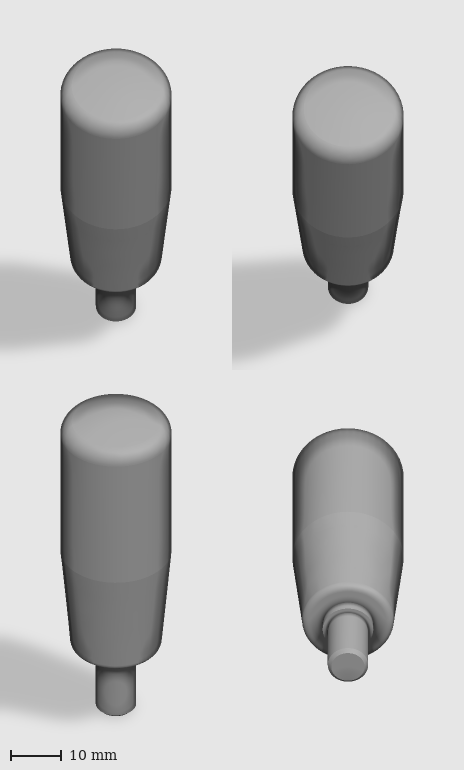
import cadquery as cq
import math

total_height = 71.5
grip_radius = 11.0

stud_radius = 4.0
stud_chamfer = 0.7

collar_radius = 5.0
collar_bottom = 13.2

grip_bottom = 15.4
grip_bottom_radius = 9.1
bottom_round = 1.4
taper_top = 38.6
straight_top = 67.2
shoulder_radius = 3.15

shoulder_center_radius = grip_radius - shoulder_radius
top_rise = total_height - straight_top
dome_radius = (shoulder_center_radius**2 + top_rise**2 - shoulder_radius**2) / (
    2 * (top_rise - shoulder_radius)
)
dome_center_height = total_height - dome_radius
dome_half_angle = math.asin(shoulder_center_radius / (dome_radius - shoulder_radius))


def dome_point(angle):
    """Point on the dome at an angle from the vertical axis."""
    return (dome_radius * math.sin(angle), dome_center_height + dome_radius * math.cos(angle))


def shoulder_point(angle):
    """Point on the shoulder arc at an angle from the vertical axis."""
    return (
        shoulder_center_radius + shoulder_radius * math.sin(angle),
        straight_top + shoulder_radius * math.cos(angle),
    )


shoulder_mid_angle = (dome_half_angle + math.pi / 2) / 2

bottom_round_top = grip_bottom + bottom_round
bottom_round_center_radius = grip_bottom_radius - bottom_round
bottom_round_mid = (
    bottom_round_center_radius + bottom_round * math.sqrt(0.5),
    bottom_round_top - bottom_round * math.sqrt(0.5),
)

profile = (
    cq.Workplane("XZ")
    .lineTo(stud_radius - stud_chamfer, 0)
    .lineTo(stud_radius, stud_chamfer)
    .lineTo(stud_radius, collar_bottom)
    .lineTo(collar_radius, collar_bottom)
    .lineTo(collar_radius, grip_bottom)
    .lineTo(bottom_round_center_radius, grip_bottom)
    .threePointArc(bottom_round_mid, (grip_bottom_radius, bottom_round_top))
    .lineTo(grip_radius, taper_top)
    .lineTo(grip_radius, straight_top)
    .threePointArc(shoulder_point(shoulder_mid_angle), shoulder_point(dome_half_angle))
    .threePointArc(dome_point(dome_half_angle / 2), (0, total_height))
    .close()
)

result = profile.revolve(360, (0, 0), (0, 1))